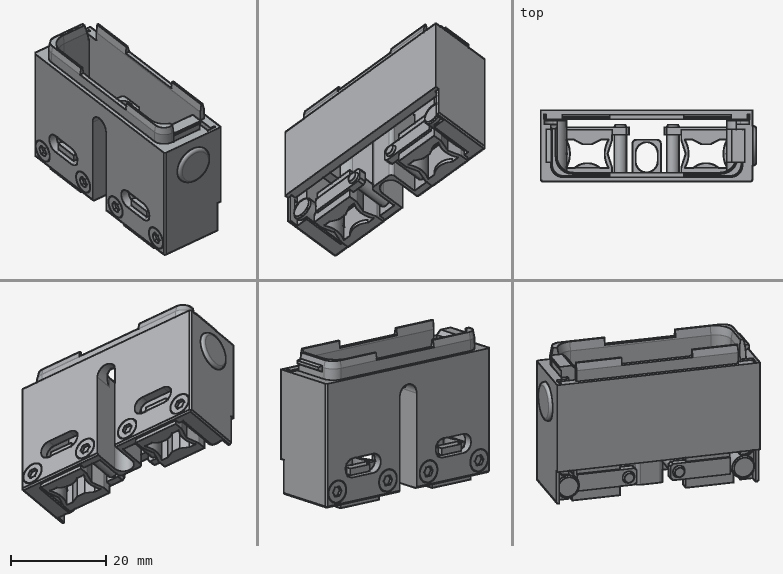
import cadquery as cq
import math

WIDTH = 44.45
CENTER_X = WIDTH / 2
HEIGHT = 27.05
DEPTH = 14.95
EDGE_CHAMFER = 0.35
REAR_STEP_Y = 14.1
REAR_STEP_Z = 7.5

WELL_LEFT = 3.45
WELL_FRONT = 1.9
WELL_REAR = 13.0
WALL_MIDDLE = WELL_FRONT / 2
WELL_CORNER = 3.4
WELL_CORNER_BOTTOM = 16.5
FLARE_BOTTOM = 29.15
WELL_WIDTH = WIDTH - 2 * WELL_LEFT

SLOT_LEFT = 0.72
SLOT_GAP = 0.35
SLOT_FRONT = 12.02
SLOT_REAR = 14.05
SLOT_FLOOR_RADIUS = 1.85
SLOT_FLOOR_REAR = 12.8

LIP_LEFT = 2.12
LIP_FRONT = 0.9
LIP_CORNER = 2.58
LIP_TOP = 31.05
LIP_SHOULDER = 29.5
LIP_TAPER = 0.3
LIP_REAR_BASE = 11.9
LIP_REAR_TOP = 11.05
NOTCH_WIDTH = 15.5
LIP_WIDTH = WIDTH - 2 * LIP_LEFT

REAR_LIP_LEFT = 4.5
REAR_LIP_BACK = 14.0
REAR_TIP_FRONT = 13.25
REAR_TIP_BACK = 13.6

HOOK_FRONT = 4.02
HOOK_REAR = 10.95
HOOK_LEFT = 1.15
HOOK_TOP = 29.95
HOOK_FACE_TOP = 29.6
HOOK_FACE_BOTTOM = 28.97
HOOK_BOTTOM = 28.48
LATCH_INNER = 38.95
LATCH_FLAT_START = 40.0
LATCH_OUTER = 42.7
LATCH_TOP = 29.45
LATCH_SLOPE_DROP = 1.0
BUTTON_RADIUS = 4.15
BUTTON_EDGE = 0.7
BUTTON_Y = 7.5
BUTTON_Z = 20.65
BUTTON_END = 45.2
LATCH_BOTTOM = BUTTON_Z - BUTTON_RADIUS

GROOVE_WIDTH = 4.55
GROOVE_TOP = 23.05
GROOVE_FRONT = 1.95
GROOVE_REAR = 8.23
SLEEVE_WIDTH = 6.0
SLEEVE_REAR = 8.75
SLEEVE_CORNER = 0.85
SLEEVE_TOP = 23.3

WINDOW_OFFSET = 12.25
WINDOW_LENGTH = 9.6
WINDOW_HEIGHT = 4.15
WINDOW_Z = 7.55

INSERT_OFFSET = 12.45
INSERT_WIDTH = 10.45
INSERT_FRONT = 0.8
INSERT_REAR = 10.9
INSERT_BOTTOM = -0.95
INSERT_TOP = 7.25
WAIST_DEPTH = 0.95
WAIST_Y = 5.85
WAIST_HALF = 2.95
OPENING_FRONT = 2.9
OPENING_REAR = 8.75
OPENING_WIDTH = 8.85
OPENING_WAIST = 7.25
BUMP_WIDTH = 5.25
BUMP_HEIGHT = 1.0
TOOTH_BASE = 5.7
TOOTH_TIP = 2.0
TOOTH_HEIGHT = 0.95
TONGUE_WIDTH = 5.35
TONGUE_BOTTOM = 5.75

BAR_FRONT = 9.8
BAR_REAR = 11.4
BAR_END = 18.55
BAR_CHAMFER = 0.55
BAR_HALF_HEIGHT = 1.85

SCREW_Z = 3.1
OUTER_SCREW_OFFSET = 19.25
INNER_SCREW_OFFSET = 5.5
HEAD_RADIUS = 2.35
HEAD_GAP = 0.1
HEAD_DEPTH = 0.7
HEX_ACROSS_CORNERS = 2.35
HEX_DEPTH = 0.7
SHANK_RADIUS = 1.3
SHANK_END = 11.95
SHANK_TIP = 0.55
SHANK_TIP_INSET = 0.25
BOSS_RADIUS = 2.5
BOSS_END = 13.1
BOSS_CHAMFER = 0.3


def box(x0, x1, y0, y1, z0, z1):
    """Box between the given limits along X, Y and Z."""
    return cq.Workplane("XY").box(x1 - x0, y1 - y0, z1 - z0, centered=False).translate((x0, y0, z0))


def mirrored(shape):
    """The shape mirrored to the other half of the housing."""
    return shape.mirror("YZ", (CENTER_X, 0, 0))


def rod(x, z, radius, y0, y1):
    """Cylinder along Y."""
    return cq.Workplane("XZ", origin=(x, y0, z)).circle(radius).extrude(y0 - y1)


def outer_shell():
    block = box(0, WIDTH, 0, DEPTH, 0, HEIGHT)
    block = block.cut(box(0, WIDTH, REAR_STEP_Y, DEPTH, 0, REAR_STEP_Z))
    block = block.faces("<Z").edges("<Y or <X or >X").chamfer(EDGE_CHAMFER)
    return block.faces("<Y").edges("|Z").chamfer(EDGE_CHAMFER)


def lip_notch(y0, y1):
    """Space between two lip tabs, down to the shoulder."""
    left = CENTER_X - NOTCH_WIDTH / 2
    return box(left, left + NOTCH_WIDTH, y0, y1, LIP_SHOULDER, LIP_TOP)


def lip():
    """Lip round the front and sides: tapered top, sloping rear ends, low middle of the front."""
    length = DEPTH - LIP_FRONT
    straight = box(LIP_LEFT, WIDTH - LIP_LEFT, LIP_FRONT, DEPTH, 0, LIP_SHOULDER)
    straight = straight.edges("|Z and <Y").fillet(LIP_CORNER)
    inset_width = LIP_WIDTH - 2 * LIP_TAPER
    inset_length = length - LIP_TAPER
    lower = cq.Sketch().rect(LIP_WIDTH, length).vertices("<Y").fillet(LIP_CORNER)
    upper = cq.Sketch().rect(inset_width, inset_length).vertices("<Y").fillet(LIP_CORNER - LIP_TAPER)
    rise = LIP_TOP - LIP_SHOULDER
    taper = (
        cq.Workplane("XY", origin=(CENTER_X, LIP_FRONT + length / 2, LIP_SHOULDER))
        .placeSketch(lower, upper.moved(cq.Location(cq.Vector(0, LIP_TAPER / 2, rise))))
        .loft()
    )
    side_outline = (
        cq.Workplane("YZ")
        .moveTo(LIP_FRONT, HEIGHT)
        .lineTo(LIP_REAR_BASE, HEIGHT)
        .lineTo(LIP_REAR_TOP, LIP_TOP)
        .lineTo(LIP_FRONT, LIP_TOP)
        .close()
        .extrude(WIDTH)
    )
    return straight.union(taper).intersect(side_outline).cut(lip_notch(0, WELL_FRONT))


def rear_lip():
    """Upright plate at the rear with two pointed tabs."""
    profile = (
        cq.Workplane("YZ", origin=(REAR_LIP_LEFT, 0, 0))
        .moveTo(WELL_REAR, HEIGHT)
        .lineTo(REAR_LIP_BACK, HEIGHT)
        .lineTo(REAR_LIP_BACK, LIP_SHOULDER)
        .lineTo(REAR_TIP_BACK, LIP_TOP)
        .lineTo(REAR_TIP_FRONT, LIP_TOP)
        .lineTo(WELL_REAR, FLARE_BOTTOM)
        .close()
        .extrude(WIDTH - 2 * REAR_LIP_LEFT)
    )
    return profile.cut(lip_notch(WELL_REAR, DEPTH))


def left_hook():
    return (
        cq.Workplane("XZ", origin=(0, HOOK_FRONT, 0))
        .moveTo(WELL_LEFT - LIP_TAPER, HOOK_TOP)
        .lineTo(HOOK_LEFT, HOOK_FACE_TOP)
        .lineTo(HOOK_LEFT, HOOK_FACE_BOTTOM)
        .lineTo(LIP_LEFT, HOOK_BOTTOM)
        .lineTo(WELL_LEFT - LIP_TAPER, HOOK_BOTTOM)
        .close()
        .extrude(HOOK_FRONT - HOOK_REAR)
    )


def well():
    """Open well through the housing, flaring at its top inside the lip."""
    cavity = box(WELL_LEFT, WIDTH - WELL_LEFT, WELL_FRONT, WELL_REAR, INSERT_BOTTOM, LIP_TOP)
    cavity = cavity.edges("|Z and <Y").fillet(WELL_CORNER)
    lower_part = box(WELL_LEFT, WIDTH - WELL_LEFT, WELL_FRONT, WELL_REAR, INSERT_BOTTOM, WELL_CORNER_BOTTOM)
    cavity = cavity.union(lower_part)
    length = WELL_REAR - WELL_FRONT
    lower = cq.Sketch().rect(WELL_WIDTH, length).vertices("<Y").fillet(WELL_CORNER)
    upper = cq.Sketch().rect(WELL_WIDTH + 2 * LIP_TAPER, length + LIP_TAPER)
    upper = upper.vertices("<Y").fillet(WELL_CORNER + LIP_TAPER)
    rise = LIP_TOP - FLARE_BOTTOM
    flare = (
        cq.Workplane("XY", origin=(CENTER_X, WELL_FRONT + length / 2, FLARE_BOTTOM))
        .placeSketch(lower, upper.moved(cq.Location(cq.Vector(0, -LIP_TAPER / 2, rise))))
        .loft()
    )
    return cavity.union(flare)


def side_slot():
    """Slot behind the left side wall, with a thin leg running rearward."""
    wide = box(SLOT_LEFT, WELL_LEFT, SLOT_FRONT, WELL_REAR, 0, HEIGHT)
    leg = box(SLOT_LEFT, SLOT_LEFT + SLOT_GAP, SLOT_FRONT, SLOT_REAR, 0, HEIGHT)
    return wide.union(leg)


def slot_floor():
    """Floor of the left slot level with the boss top, hollow-rounded up to the side wall."""
    level = SCREW_Z + BOSS_RADIUS
    bend = SLOT_FLOOR_RADIUS * (1 - math.sqrt(0.5))
    return (
        cq.Workplane("XZ", origin=(0, SLOT_FRONT, 0))
        .moveTo(SLOT_LEFT, SCREW_Z)
        .lineTo(SLOT_LEFT, level + SLOT_FLOOR_RADIUS)
        .threePointArc((SLOT_LEFT + bend, level + bend), (SLOT_LEFT + SLOT_FLOOR_RADIUS, level))
        .lineTo(WELL_LEFT, level)
        .lineTo(WELL_LEFT, SCREW_Z)
        .close()
        .extrude(SLOT_FRONT - SLOT_FLOOR_REAR)
    )


def window():
    return (
        cq.Workplane("XZ", origin=(CENTER_X - WINDOW_OFFSET, 0, WINDOW_Z))
        .slot2D(WINDOW_LENGTH, WINDOW_HEIGHT)
        .extrude(-WELL_FRONT)
    )


def insert_block():
    """Waisted block centred on X = 0, with a tongue reaching into the window."""
    half = INSERT_WIDTH / 2
    waist = half - WAIST_DEPTH
    block = (
        cq.Workplane("XY", origin=(0, 0, INSERT_BOTTOM))
        .polyline([
            (-half, INSERT_FRONT),
            (half, INSERT_FRONT),
            (half, WAIST_Y - WAIST_HALF),
            (waist, WAIST_Y),
            (half, WAIST_Y + WAIST_HALF),
            (half, INSERT_REAR),
            (-half, INSERT_REAR),
            (-half, WAIST_Y + WAIST_HALF),
            (-waist, WAIST_Y),
            (-half, WAIST_Y - WAIST_HALF),
        ])
        .close()
        .extrude(INSERT_TOP - INSERT_BOTTOM)
    )
    for x in (-half, TONGUE_WIDTH / 2):
        relief = box(x, x + half - TONGUE_WIDTH / 2, INSERT_FRONT, WELL_FRONT, 0, INSERT_TOP)
        block = block.cut(relief)
    window_bottom = WINDOW_Z - WINDOW_HEIGHT / 2
    half_tongue = TONGUE_WIDTH / 2
    gap = box(-half_tongue, half_tongue, INSERT_FRONT, WELL_FRONT, window_bottom, TONGUE_BOTTOM)
    return block.cut(gap)


def insert_opening():
    """Upright opening with bowed sides and a tapered tooth at the rear."""
    open_half = OPENING_WIDTH / 2
    tooth_y = OPENING_REAR - TOOTH_HEIGHT
    return (
        cq.Workplane("XY", origin=(0, 0, INSERT_BOTTOM))
        .moveTo(-open_half, OPENING_FRONT)
        .lineTo(open_half, OPENING_FRONT)
        .threePointArc((OPENING_WAIST / 2, WAIST_Y), (open_half, OPENING_REAR))
        .lineTo(TOOTH_BASE / 2, OPENING_REAR)
        .lineTo(TOOTH_TIP / 2, tooth_y)
        .lineTo(-TOOTH_TIP / 2, tooth_y)
        .lineTo(-TOOTH_BASE / 2, OPENING_REAR)
        .lineTo(-open_half, OPENING_REAR)
        .threePointArc((-OPENING_WAIST / 2, WAIST_Y), (-open_half, OPENING_FRONT))
        .close()
        .extrude(INSERT_TOP - INSERT_BOTTOM)
    )


def insert_bump():
    """Low rounded bump at the front of the opening."""
    return (
        cq.Workplane("XY", origin=(0, 0, INSERT_BOTTOM))
        .moveTo(-BUMP_WIDTH / 2, OPENING_FRONT)
        .threePointArc((0, OPENING_FRONT + BUMP_HEIGHT), (BUMP_WIDTH / 2, OPENING_FRONT))
        .close()
        .extrude(-INSERT_BOTTOM)
    )


def insert():
    """Left floor insert in its place."""
    block = insert_block().cut(insert_opening()).union(insert_bump())
    block = block.translate((CENTER_X - INSERT_OFFSET, 0, 0))
    boss_edge = CENTER_X - OUTER_SCREW_OFFSET + BOSS_RADIUS
    return block.cut(box(WELL_LEFT, boss_edge, 0, INSERT_REAR, SCREW_Z, INSERT_TOP))


def bar():
    """Bar behind the left insert that takes the tip of the inner screw."""
    start = CENTER_X - OUTER_SCREW_OFFSET + BOSS_RADIUS
    low = SCREW_Z - BAR_HALF_HEIGHT
    high = SCREW_Z + BAR_HALF_HEIGHT
    return box(start, BAR_END, BAR_FRONT, BAR_REAR, low, high).edges(">X and |Y").chamfer(BAR_CHAMFER)


def inner_shank():
    x = CENTER_X - INNER_SCREW_OFFSET
    shank = rod(x, SCREW_Z, SHANK_RADIUS, WALL_MIDDLE, SHANK_END)
    return shank.faces(">Y").chamfer(SHANK_TIP, SHANK_TIP_INSET)


def outer_boss():
    x = CENTER_X - OUTER_SCREW_OFFSET
    boss = rod(x, SCREW_Z, BOSS_RADIUS, WALL_MIDDLE, BOSS_END)
    return boss.faces(">Y").chamfer(BOSS_CHAMFER)


def screw_head(x):
    """Ring gap round a flush screw head, and its hexagon socket."""
    face = cq.Workplane("XZ", origin=(x, 0, SCREW_Z))
    ring = face.circle(HEAD_RADIUS + HEAD_GAP).circle(HEAD_RADIUS).extrude(-HEAD_DEPTH)
    socket = face.polygon(6, HEX_ACROSS_CORNERS).extrude(-HEX_DEPTH)
    return ring.union(socket)


def sleeve():
    left = CENTER_X - SLEEVE_WIDTH / 2
    block = box(left, left + SLEEVE_WIDTH, WALL_MIDDLE, SLEEVE_REAR, 0, SLEEVE_TOP)
    return block.edges("|Z and >Y").fillet(SLEEVE_CORNER)


def groove():
    """Oval shaft through the sleeve, opened to the front below a round arch."""
    radius = GROOVE_WIDTH / 2
    shaft = (
        cq.Workplane("XY", origin=(CENTER_X, (GROOVE_FRONT + GROOVE_REAR) / 2, 0))
        .slot2D(GROOVE_REAR - GROOVE_FRONT, GROOVE_WIDTH, 90)
        .extrude(SLEEVE_TOP)
    )
    arch_depth = GROOVE_REAR - radius
    spring = GROOVE_TOP - radius
    arch = box(CENTER_X - radius, CENTER_X + radius, 0, arch_depth, 0, spring)
    return shaft.union(arch).union(rod(CENTER_X, spring, radius, 0, arch_depth))


def latch():
    """Hooked latch block with its round push button."""
    profile = (
        cq.Workplane("XZ", origin=(0, HOOK_FRONT, 0))
        .moveTo(LATCH_INNER, LATCH_BOTTOM)
        .lineTo(LATCH_INNER, LATCH_TOP - LATCH_SLOPE_DROP)
        .lineTo(LATCH_FLAT_START, LATCH_TOP)
        .lineTo(LATCH_OUTER, LATCH_TOP)
        .lineTo(LATCH_OUTER, HOOK_FACE_BOTTOM)
        .lineTo(WIDTH - LIP_LEFT, HOOK_BOTTOM)
        .lineTo(WIDTH - LIP_LEFT, LATCH_BOTTOM)
        .close()
        .extrude(HOOK_FRONT - HOOK_REAR)
    )
    start = WIDTH - LIP_LEFT
    button = cq.Workplane("YZ", origin=(start, BUTTON_Y, BUTTON_Z)).circle(BUTTON_RADIUS)
    button = button.extrude(BUTTON_END - start).faces(">X").edges().fillet(BUTTON_EDGE)
    return profile.union(button)


def latch_space():
    """Gap in the right lip and wall for the latch, and the button hole."""
    pocket = box(LATCH_INNER, WIDTH - LIP_LEFT, HOOK_FRONT, HOOK_REAR, LATCH_BOTTOM, LIP_TOP)
    hole = cq.Workplane("YZ", origin=(WIDTH - LIP_LEFT, BUTTON_Y, BUTTON_Z)).circle(BUTTON_RADIUS)
    behind = box(WIDTH - WELL_LEFT, WIDTH - LIP_LEFT, HOOK_FRONT, DEPTH, HEIGHT, LIP_TOP)
    return pocket.union(behind).union(hole.extrude(LIP_LEFT))


def make_housing():
    body = outer_shell().union(lip()).union(left_hook()).cut(well())
    body = body.union(rear_lip())
    for slot in (side_slot(), mirrored(side_slot())):
        body = body.cut(slot)
    body = body.cut(box(SLOT_LEFT, WIDTH - SLOT_LEFT, WELL_REAR, DEPTH, 0, REAR_STEP_Z))
    for opening in (window(), mirrored(window())):
        body = body.cut(opening)
    for make in (slot_floor, insert, bar, inner_shank, outer_boss):
        body = body.union(make()).union(mirrored(make()))
    body = body.union(sleeve()).cut(groove())
    for offset in (OUTER_SCREW_OFFSET, INNER_SCREW_OFFSET):
        for side in (-1, 1):
            body = body.cut(screw_head(CENTER_X + side * offset))
    return body.cut(latch_space())


housing = make_housing()
button_latch = latch()
result = cq.Compound.makeCompound([housing.solids().val(), button_latch.solids().val()])